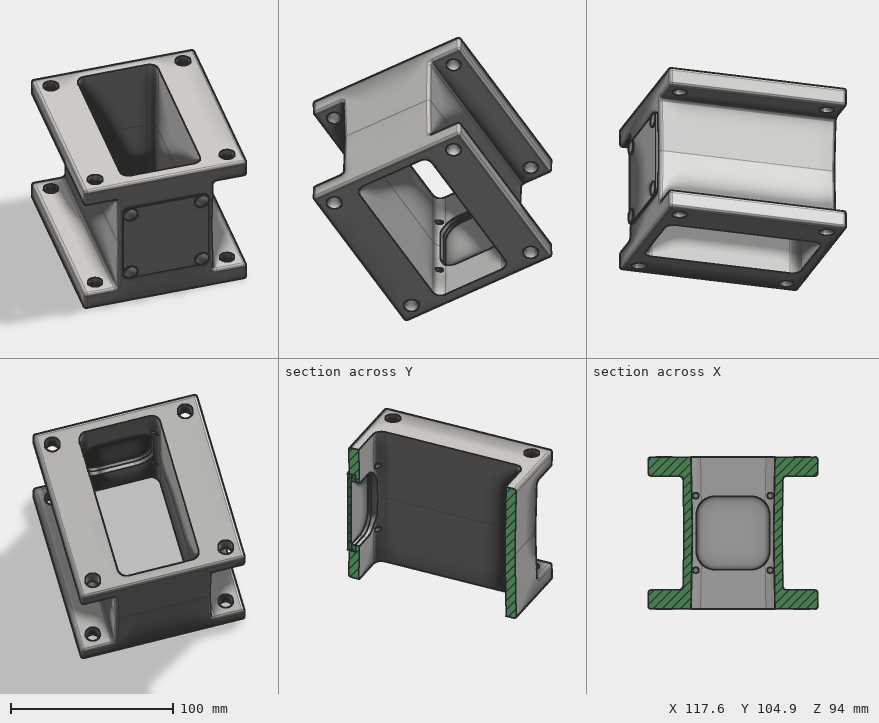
import cadquery as cq
import math

DRAFT = 1.0
OVERALL_LENGTH = 117.6
LENGTH = 115.0
WIDTH = 105.0
HEIGHT = 94.0
FLANGE_THICKNESS = 12.0
WEB_WIDTH = 62.5
EDGE_RADIUS = 2.0

CAVITY_LENGTH = 100.5
CAVITY_WIDTH = 51.6
CAVITY_RADIUS = 5.6

BOLT_SPACING_X = 95.0
BOLT_SPACING_Y = 85.0
BOLT_HOLE_DIAMETER = 9.5

PLATE_SIDE = 55.0
PLATE_RADIUS = 3.5
PLATE_THICKNESS = 3.0
GASKET_THICKNESS = 2.5
PLATE_OUTER_X = 58.3
WINDOW_SIDE = 45.3
WINDOW_RADIUS = 11.5

SCREW_SPACING = 46.0
SCREW_DIAMETER = 3.8
SCREW_LENGTH = 6.6
HEAD_DIAMETER = 9.0
HEAD_RIM = 0.6
HEAD_DOME_RADIUS = 7.6
HEAD_FLAT_RADIUS = 1.2

HALF_HEIGHT = HEIGHT / 2
HOUSING_MIN_X = EDGE_RADIUS * math.tan(math.radians(DRAFT)) - LENGTH / 2
HEAD_TIP_X = HOUSING_MIN_X + OVERALL_LENGTH
PLATE_INNER_X = PLATE_OUTER_X - PLATE_THICKNESS
GASKET_INNER_X = PLATE_INNER_X - GASKET_THICKNESS
BOLT_POINTS = [(sx * BOLT_SPACING_X / 2, sy * BOLT_SPACING_Y / 2) for sx in (-1, 1) for sy in (-1, 1)]
SCREW_POINTS = [(sy * SCREW_SPACING / 2, sz * SCREW_SPACING / 2) for sy in (-1, 1) for sz in (-1, 1)]


def drafted_block(length, width, depth):
    """Rectangular block that hangs from the upper end face and narrows downwards."""
    return (
        cq.Workplane("XY", origin=(0, 0, HALF_HEIGHT))
        .rect(length, width)
        .extrude(-depth, taper=DRAFT)
    )


def square_prism(side, radius, start_x, depth):
    """Square prism with rounded corners, running in +X from start_x."""
    return (
        cq.Workplane("YZ", origin=(start_x, 0, 0))
        .rect(side, side)
        .extrude(depth)
        .edges("|X")
        .fillet(radius)
    )


def cylinder_along_x(point, diameter, start_x, depth):
    """Cylinder whose axis runs along X through a (y, z) point."""
    return (
        cq.Workplane("YZ", origin=(start_x, 0, 0))
        .center(*point)
        .circle(diameter / 2)
        .extrude(depth)
    )


def cut_screw_holes(body, start_x, depth):
    """Body with a hole for the shank of each screw."""
    for point in SCREW_POINTS:
        body = body.cut(cylinder_along_x(point, SCREW_DIAMETER, start_x, depth))
    return body


def make_half_shell():
    """Upper half of the housing with its drafted cavity and bolt holes."""
    flange = drafted_block(LENGTH, WIDTH, FLANGE_THICKNESS)
    web = drafted_block(LENGTH, WEB_WIDTH, HALF_HEIGHT)
    outside = flange.union(web, clean=True)
    outside = outside.edges("not <Z").fillet(EDGE_RADIUS)
    cavity = drafted_block(CAVITY_LENGTH, CAVITY_WIDTH, HALF_HEIGHT)
    cavity = cavity.edges("not(|X or |Y)").fillet(CAVITY_RADIUS)
    bolt_holes = (
        cq.Workplane("XY", origin=(0, 0, HALF_HEIGHT))
        .pushPoints(BOLT_POINTS)
        .circle(BOLT_HOLE_DIAMETER / 2)
        .extrude(-FLANGE_THICKNESS, taper=DRAFT)
    )
    return outside.cut(cavity).cut(bolt_holes)


def make_housing():
    """Two mirrored halves, with the window and the cover seat in the +X wall."""
    upper = make_half_shell()
    housing = upper.union(upper.mirror("XY"), clean=False)
    seat = square_prism(PLATE_SIDE, PLATE_RADIUS, GASKET_INNER_X, HEAD_TIP_X - GASKET_INNER_X)
    window = square_prism(WINDOW_SIDE, WINDOW_RADIUS, 0, HEAD_TIP_X)
    return cut_screw_holes(housing.cut(seat).cut(window), 0, HEAD_TIP_X)


def make_gasket():
    """Square frame at the bottom of the cover seat."""
    gasket = square_prism(PLATE_SIDE, PLATE_RADIUS, GASKET_INNER_X, GASKET_THICKNESS)
    window = square_prism(WINDOW_SIDE, WINDOW_RADIUS, GASKET_INNER_X, GASKET_THICKNESS)
    return cut_screw_holes(gasket.cut(window), GASKET_INNER_X, GASKET_THICKNESS)


def make_cover_plate():
    """Plate that closes the window on top of the gasket."""
    plate = square_prism(PLATE_SIDE, PLATE_RADIUS, PLATE_INNER_X, PLATE_THICKNESS)
    return cut_screw_holes(plate, PLATE_INNER_X, PLATE_THICKNESS)


def make_screw(point):
    """Round-headed screw whose shank enters the wall at a (y, z) point."""
    head_height = HEAD_TIP_X - PLATE_OUTER_X
    head_radius = HEAD_DIAMETER / 2
    profile = (
        cq.Workplane("XY")
        .moveTo(-SCREW_LENGTH, 0)
        .lineTo(-SCREW_LENGTH, SCREW_DIAMETER / 2)
        .lineTo(0, SCREW_DIAMETER / 2)
        .lineTo(0, head_radius)
        .lineTo(HEAD_RIM, head_radius)
        .radiusArc((head_height, HEAD_FLAT_RADIUS), HEAD_DOME_RADIUS)
        .lineTo(head_height, 0)
        .close()
    )
    screw = profile.revolve(360, (0, 0, 0), (1, 0, 0))
    return screw.translate((PLATE_OUTER_X, *point))


housing = make_housing()
gasket = make_gasket()
cover_plate = make_cover_plate()
screws = [make_screw(point) for point in SCREW_POINTS]

result = cq.Compound.makeCompound(
    [housing.val(), gasket.val(), cover_plate.val(), *[screw.val() for screw in screws]]
)